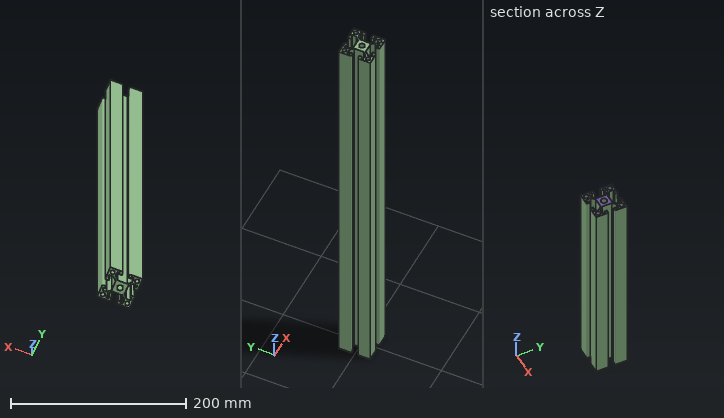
import cadquery as cq

size = 40.0
length = 500.0

slot_width = 8.0
mouth_round = 1.5
slot_wall = 10.1
lip_root = 2.7
lip_tip = 4.5
lip_tip_width = 3.2

core_size = 15.6
web_thickness = 2.6
bore_diameter = 6.8
hollow_diameter = 5.0
hollow_pitch = 30.0

half = size / 2
half_mouth = slot_width / 2
half_core = core_size / 2
lip_step = half_mouth + lip_tip_width
web_offset = web_thickness / 2 ** 0.5


def slot_void():
    """T-slot void that opens towards +Y, over the full length."""
    right_half = (
        cq.Workplane("XY")
        .moveTo(0, half)
        .lineTo(half_mouth + mouth_round, half)
        .radiusArc((half_mouth, half - mouth_round), -mouth_round)
        .lineTo(half_mouth, half - lip_tip)
        .lineTo(lip_step, half - lip_tip)
        .lineTo(lip_step, half - lip_root)
        .lineTo(slot_wall, half - lip_root)
        .lineTo(slot_wall, slot_wall + web_offset)
        .lineTo(half_core - web_offset, half_core)
        .lineTo(0, half_core)
        .close()
        .extrude(length)
    )
    return right_half.union(right_half.mirror("YZ")).clean()


def corner_hollows():
    """Round hollows running through the four corner blocks."""
    return (
        cq.Workplane("XY")
        .rect(hollow_pitch, hollow_pitch, forConstruction=True)
        .vertices()
        .circle(hollow_diameter / 2)
        .extrude(length)
    )


def central_bore():
    """Round bore running through the core."""
    return cq.Workplane("XY").circle(bore_diameter / 2).extrude(length)


result = cq.Workplane("XY").rect(size, size).extrude(length)

slot = slot_void()
for angle in (0, 90, 180, 270):
    result = result.cut(slot.rotate((0, 0, 0), (0, 0, 1), angle))

result = result.cut(corner_hollows())
result = result.cut(central_bore())